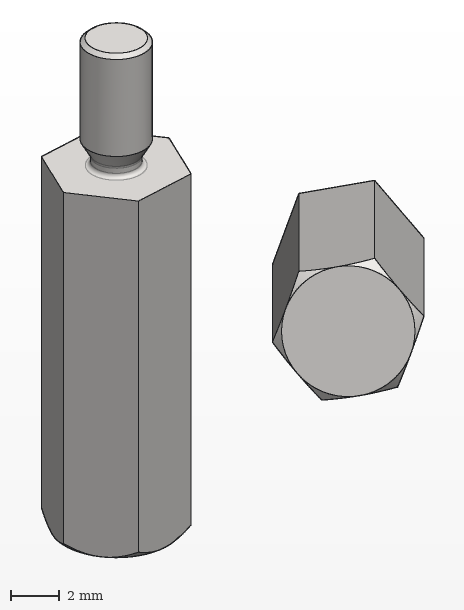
import cadquery as cq
import math

total_height = 23.0
body_height = 17.0
across_flats = 5.5
across_corners = across_flats / math.cos(math.radians(30))

bottom_face_diameter = 5.5
bottom_chamfer_angle = math.radians(45)

stud_radius = 3.0 / 2
neck_radius = 2.15 / 2
neck_fillet = 0.2
undercut_length = 1.25
taper_angle = math.radians(30)
tip_chamfer_width = 0.2
tip_chamfer_height = 0.18


def make_body():
    """Hexagonal prism trimmed by a cone at its bottom end."""
    prism = cq.Workplane("XY").polygon(6, across_corners).extrude(body_height)
    bottom_radius = bottom_face_diameter / 2
    corner_radius = across_corners / 2
    chamfer_height = (corner_radius - bottom_radius) * math.tan(bottom_chamfer_angle)
    envelope = (
        cq.Workplane("XZ")
        .lineTo(bottom_radius, 0)
        .lineTo(corner_radius, chamfer_height)
        .lineTo(corner_radius, body_height)
        .lineTo(0, body_height)
        .close()
        .revolve(360, (0, 0, 0), (0, 1, 0))
    )
    return prism.intersect(envelope)


def make_stud():
    """Revolved stud: neck filleted at both ends, taper, plain shank and chamfered tip."""
    taper_top = body_height + undercut_length
    taper_length = (stud_radius - neck_radius) / math.tan(taper_angle)
    upper_arc_start = taper_top - taper_length - neck_fillet * math.tan(taper_angle / 2)
    foot_arc_offset = neck_fillet * (1 - math.sqrt(0.5))

    def upper_arc_point(angle):
        """Point on the fillet between neck and taper, turned by angle from the neck."""
        radius = neck_radius + neck_fillet * (1 - math.cos(angle))
        return (radius, upper_arc_start + neck_fillet * math.sin(angle))

    return (
        cq.Workplane("XZ")
        .moveTo(0, body_height)
        .lineTo(neck_radius + neck_fillet, body_height)
        .threePointArc(
            (neck_radius + foot_arc_offset, body_height + foot_arc_offset),
            (neck_radius, body_height + neck_fillet),
        )
        .lineTo(neck_radius, upper_arc_start)
        .threePointArc(upper_arc_point(taper_angle / 2), upper_arc_point(taper_angle))
        .lineTo(stud_radius, taper_top)
        .lineTo(stud_radius, total_height - tip_chamfer_height)
        .lineTo(stud_radius - tip_chamfer_width, total_height)
        .lineTo(0, total_height)
        .close()
        .revolve(360, (0, 0, 0), (0, 1, 0))
    )


result = make_body().union(make_stud())